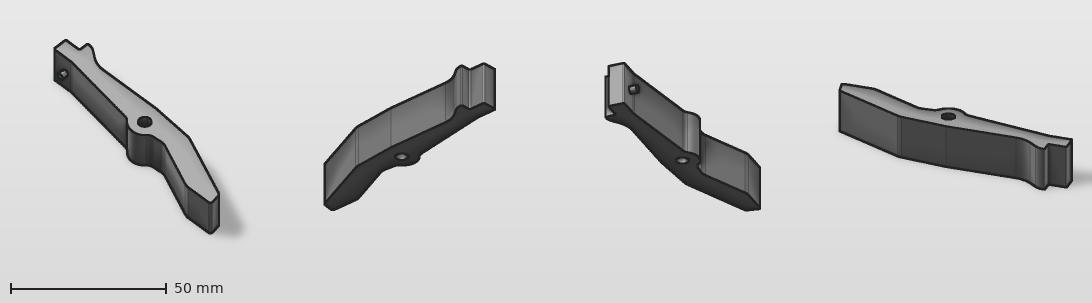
import cadquery as cq

THICKNESS = 14.7
DEPTH = 21.6
PIVOT_DIAMETER = 4.2
BOSS_RADIUS = 5.7
BOSS_BLEND_RADIUS = 2.9

TAIL_X = -42.8
TOE_X = 39.8
TAIL_TOP_Y = 7.5
TAIL_BOTTOM_Y = 2.0
HOOK_X = -36.6
HOOK_TOP_Y = 11.2
BACK_Y = 6.7
TOE_BOTTOM_Y = HOOK_TOP_Y - DEPTH

SMALL_RADIUS = 0.5
TAIL_CORNER_RADIUS = 0.4
HOOK_TIP_RADIUS = 0.25
TOE_RADIUS = 0.8
BEND_RADIUS = 4.95
CREST_RADIUS = 4.95
HOOK_BLEND_RADIUS = 9.3

PIN_DIAMETER = 2.5
PIN_X = -37.5
PIN_END_Y = -0.5

OUTLINE = [
    (TAIL_X, TAIL_BOTTOM_Y, SMALL_RADIUS),
    (TAIL_X, TAIL_TOP_Y, TAIL_CORNER_RADIUS),
    (HOOK_X, TAIL_TOP_Y, SMALL_RADIUS),
    (HOOK_X, HOOK_TOP_Y, HOOK_TIP_RADIUS),
    (-34.45, HOOK_TOP_Y, CREST_RADIUS),
    (-28.3, BACK_Y, HOOK_BLEND_RADIUS),
    (-1.5, BACK_Y, 0),
    (14.9, 5.1, BEND_RADIUS),
    (38.9, -5.5, TOE_RADIUS),
    (TOE_X, TOE_BOTTOM_Y, TOE_RADIUS),
    (28.8, TOE_BOTTOM_Y, BEND_RADIUS),
    (10.9, -2.4, BEND_RADIUS),
    (3.3, -2.9, 0),
    (-3.3, -3.2, 0),
    (-34.95, TAIL_BOTTOM_Y, BEND_RADIUS),
]


def make_arm():
    """Extrude the outline and round its upright corner edges."""
    points = [(x, y) for x, y, radius in OUTLINE]
    arm = cq.Workplane("XY").polyline(points).close().extrude(THICKNESS)
    for x, y, radius in OUTLINE:
        if radius > 0:
            corner = cq.selectors.NearestToPointSelector((x, y, THICKNESS / 2))
            arm = arm.edges("|Z").edges(corner).fillet(radius)
    return arm


def add_boss(arm):
    """Add the round pivot boss and blend it into the underside of the arm."""
    boss = cq.Workplane("XY").circle(BOSS_RADIUS).extrude(THICKNESS)
    lever = arm.union(boss)
    for side in (-1, 1):
        junction_point = (side * BOSS_RADIUS, -BOSS_RADIUS / 2, THICKNESS / 2)
        junction = cq.selectors.NearestToPointSelector(junction_point)
        lever = lever.edges("|Z").edges(junction).fillet(BOSS_BLEND_RADIUS)
    return lever


def make_pin():
    """Make the pin, rooted halfway into the tail and pointing to -Y."""
    root_y = (TAIL_TOP_Y + TAIL_BOTTOM_Y) / 2
    pin_plane = cq.Workplane("XZ", origin=(PIN_X, root_y, THICKNESS / 2))
    return pin_plane.circle(PIN_DIAMETER / 2).extrude(root_y - PIN_END_Y)


pivot_hole = cq.Workplane("XY").circle(PIVOT_DIAMETER / 2).extrude(THICKNESS)
result = add_boss(make_arm()).cut(pivot_hole).union(make_pin())